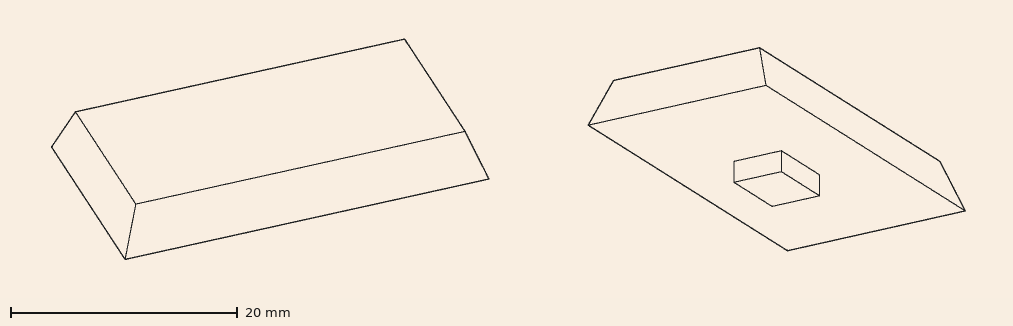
import cadquery as cq
import math

body_width = 18.25
body_length = 34.33
body_height = 4.5
side_draft = 20.0

boss_width = 4.87
boss_length = 6.6
total_height = 6.5
boss_height = total_height - body_height

top_inset = body_height * math.tan(math.radians(side_draft))
top_width = body_width - 2 * top_inset
top_length = body_length - 2 * top_inset

body = (
    cq.Workplane("XY")
    .rect(body_width, body_length)
    .workplane(offset=body_height)
    .rect(top_width, top_length)
    .loft(ruled=True)
)

boss = cq.Workplane("XY").rect(boss_width, boss_length).extrude(-boss_height)

result = body.union(boss)